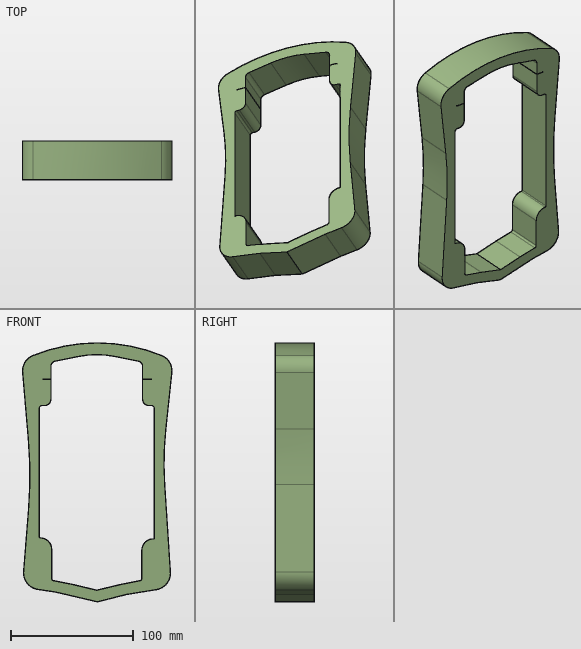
import cadquery as cq
import math

height = 211.49
depth = 32.0
crown_z = height / 2
keel_z = -height / 2

crown_radius = 139.0
crown_half_span = 61.9
crown_drop = crown_radius - math.sqrt(crown_radius**2 - crown_half_span**2)
crown_side_z = crown_z - crown_drop
upper_left = (-crown_half_span, crown_side_z)
upper_right = (crown_half_span, crown_side_z)
left_waist = (-54.0, -1.7)
right_waist = (53.6, 12.8)
lower_left = (-61.3, -93.7)
lower_right = (60.5, -93.8)
left_floor_bend = (-34.0, -97.8)
right_floor_bend = (24.0, -99.7)

upper_corner_radius = 13.6
lower_corner_radius = 13.8
left_waist_radius = 350.0
right_waist_radius = 265.0

opening_offset_x = -0.5
middle_half_width = 46.75
upper_half_width = 37.3
lower_half_width = 36.7
ceiling_apex_z = 97.5
ceiling_side_z = 90.0
upper_ledge_z = 54.4
left_lower_ledge_z = -53.4
right_lower_ledge_z = -54.2
floor_side_z = -88.0
floor_bend_x = 20.0
floor_bend_z = -91.3
floor_apex_z = -96.1

ceiling_apex_radius = 75.0
ceiling_corner_radius = 4.0
upper_ledge_nose_radius = 5.5
upper_ledge_root_radius = 1.8
lower_ledge_nose_radius = 9.5
left_lower_ledge_root_radius = 0.8
floor_corner_radius = 1.8

slit_z = 76.1
slit_height = 0.2
slit_end_x = 44.3


def round_corner(body, corner, radius):
    """Round the edge that runs along Y through the (x, z) corner."""
    x, z = corner
    edge = body.edges("|Y").edges(cq.selectors.NearestToPointSelector((x, 0, z)))
    return edge.fillet(radius)


def make_outer_block():
    """Solid block with the crowned, waisted outer outline."""
    block = (
        cq.Workplane("XZ")
        .moveTo(*upper_left)
        .threePointArc((0, crown_z), upper_right)
        .lineTo(*right_waist)
        .lineTo(*lower_right)
        .lineTo(*right_floor_bend)
        .lineTo(0, keel_z)
        .lineTo(*left_floor_bend)
        .lineTo(*lower_left)
        .lineTo(*left_waist)
        .close()
        .extrude(depth / 2, both=True)
    )
    for corner in (upper_left, upper_right):
        block = round_corner(block, corner, upper_corner_radius)
    for corner in (lower_left, lower_right):
        block = round_corner(block, corner, lower_corner_radius)
    block = round_corner(block, left_waist, left_waist_radius)
    return round_corner(block, right_waist, right_waist_radius)


def make_opening():
    """Body of the stepped opening through the frame."""
    half_outlines = {}
    for side, lower_ledge_z in ((-1, left_lower_ledge_z), (1, right_lower_ledge_z)):
        half_outlines[side] = [
            (side * upper_half_width, ceiling_side_z),
            (side * upper_half_width, upper_ledge_z),
            (side * middle_half_width, upper_ledge_z),
            (side * middle_half_width, lower_ledge_z),
            (side * lower_half_width, lower_ledge_z),
            (side * lower_half_width, floor_side_z),
            (side * floor_bend_x, floor_bend_z),
        ]
    ceiling_apex = (0, ceiling_apex_z)
    outline = [ceiling_apex] + half_outlines[1] + [(0, floor_apex_z)] + half_outlines[-1][::-1]
    opening = cq.Workplane("XZ").polyline(outline).close().extrude(depth / 2, both=True)

    opening = round_corner(opening, ceiling_apex, ceiling_apex_radius)
    corner_radii = (
        ceiling_corner_radius,
        upper_ledge_nose_radius,
        upper_ledge_root_radius,
        None,
        lower_ledge_nose_radius,
        floor_corner_radius,
    )
    for corners in half_outlines.values():
        for corner, radius in zip(corners, corner_radii):
            if radius:
                opening = round_corner(opening, corner, radius)
    left_lower_root = (-middle_half_width, left_lower_ledge_z)
    opening = round_corner(opening, left_lower_root, left_lower_ledge_root_radius)
    return opening.translate((opening_offset_x, 0, 0))


def make_slits():
    """One thin bar spanning the opening; its ends cut both slits."""
    return cq.Workplane("XY").box(2 * slit_end_x, depth, slit_height).translate((0, 0, slit_z))


result = make_outer_block().cut(make_opening()).cut(make_slits())